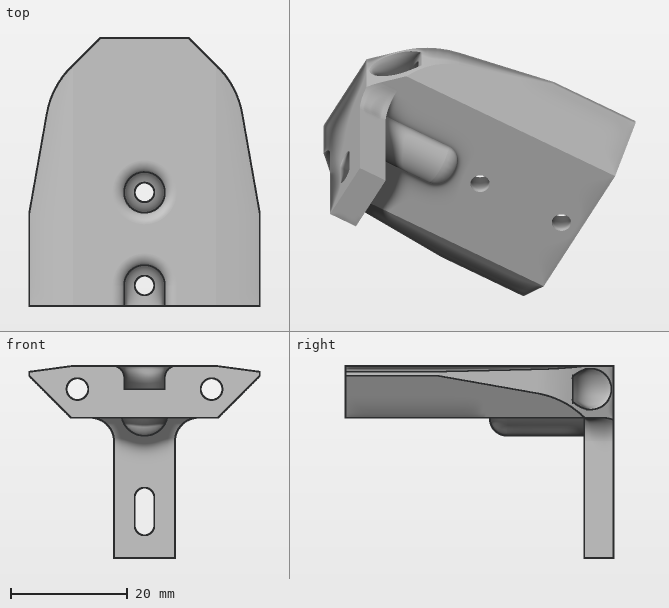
import cadquery as cq
import math

LENGTH = 46.0
HALF_WIDTH = 39.5 / 2
PLATE_THICKNESS = 8.92
TOP_FLAT_HALF_WIDTH = 12.25
TOP_EDGE_DROP = 1.0
SIDE_EDGE_BOTTOM = 1.75
UNDERSIDE_HALF_WIDTH = HALF_WIDTH - (PLATE_THICKNESS - SIDE_EDGE_BOTTOM)

STRAIGHT_SIDE_LENGTH = 16.05
TAPER_ANGLE = 10.0
BACK_HALF_WIDTH = 7.6
CORNER_RADIUS = 15.0

POST_HALF_WIDTH = 5.25
POST_THICKNESS = 5.05
POST_BOTTOM = -33.0
POST_FILLET = 4.0
SLOT_WIDTH = 3.3
SLOT_LENGTH = 8.15
SLOT_CENTER_Z = -25.0

RIB_RADIUS = 4.0
RIB_CENTER_Z = -8.0
RIB_LENGTH = 21.25
RIB_END_FILLET = 3.0

SCREW_DIAMETER = 3.3
FRONT_SCREW_Y = 3.55
REAR_SCREW_Y = 19.5
RECESS_RADIUS = 3.5
RECESS_DEPTH = 4.0
RECESS_RIM_RADIUS = 2.0

BOLT_X = 11.5
BOLT_Z = -4.0
BOLT_DIAMETER = 3.7
BOLT_HEAD_DIAMETER = 7.05
BOLT_HEAD_DEPTH = 7.05


def plan_prism():
    """Full-height prism with the plan outline of the plate."""
    taper = math.tan(math.radians(TAPER_ANGLE))
    taper_length = LENGTH - STRAIGHT_SIDE_LENGTH
    corner_offset = (HALF_WIDTH - taper_length * taper - BACK_HALF_WIDTH) / (1 - taper)
    corner_x = BACK_HALF_WIDTH + corner_offset
    corner_y = LENGTH - corner_offset
    outline = [
        (-HALF_WIDTH, 0),
        (HALF_WIDTH, 0),
        (HALF_WIDTH, STRAIGHT_SIDE_LENGTH),
        (corner_x, corner_y),
        (BACK_HALF_WIDTH, LENGTH),
        (-BACK_HALF_WIDTH, LENGTH),
        (-corner_x, corner_y),
        (-HALF_WIDTH, STRAIGHT_SIDE_LENGTH),
    ]
    prism = cq.Workplane("XY").polyline(outline).close().extrude(POST_BOTTOM)
    blended_corners = cq.selectors.BoxSelector(
        (-HALF_WIDTH, corner_y - 0.45, POST_BOTTOM), (HALF_WIDTH, corner_y + 0.45, 0)
    )
    return prism.edges("|Z").edges(blended_corners).fillet(CORNER_RADIUS)


def plate_section():
    """Cross-section of the plate, extruded over its whole length."""
    return (
        cq.Workplane("XZ")
        .moveTo(-TOP_FLAT_HALF_WIDTH, 0)
        .lineTo(TOP_FLAT_HALF_WIDTH, 0)
        .lineTo(HALF_WIDTH, -TOP_EDGE_DROP)
        .lineTo(HALF_WIDTH, -SIDE_EDGE_BOTTOM)
        .lineTo(UNDERSIDE_HALF_WIDTH, -PLATE_THICKNESS)
        .lineTo(-UNDERSIDE_HALF_WIDTH, -PLATE_THICKNESS)
        .lineTo(-HALF_WIDTH, -SIDE_EDGE_BOTTOM)
        .lineTo(-HALF_WIDTH, -TOP_EDGE_DROP)
        .close()
        .extrude(-LENGTH)
    )


def post():
    """Slotted post whose top flares into the plate through two fillets."""
    flare_half_width = POST_HALF_WIDTH + POST_FILLET
    flare_bottom = -PLATE_THICKNESS - POST_FILLET
    body = (
        cq.Workplane("XZ", origin=(0, LENGTH, 0))
        .moveTo(-POST_HALF_WIDTH, POST_BOTTOM)
        .lineTo(POST_HALF_WIDTH, POST_BOTTOM)
        .lineTo(POST_HALF_WIDTH, flare_bottom)
        .radiusArc((flare_half_width, -PLATE_THICKNESS), POST_FILLET)
        .lineTo(-flare_half_width, -PLATE_THICKNESS)
        .radiusArc((-POST_HALF_WIDTH, flare_bottom), POST_FILLET)
        .close()
        .extrude(POST_THICKNESS)
    )
    slot = (
        cq.Workplane("XZ", origin=(0, LENGTH, SLOT_CENTER_Z))
        .slot2D(SLOT_LENGTH, SLOT_WIDTH, 90)
        .extrude(POST_THICKNESS)
    )
    return body.cut(slot)


def rib():
    return (
        cq.Workplane("XZ", origin=(0, LENGTH, RIB_CENTER_Z))
        .circle(RIB_RADIUS)
        .extrude(RIB_LENGTH)
        .faces("<Y")
        .edges()
        .fillet(RIB_END_FILLET)
    )


def recess(y):
    """Round recess at y whose rim flares out to the top face."""
    rim_outer = RECESS_RADIUS + RECESS_RIM_RADIUS
    return (
        cq.Workplane("XZ", origin=(0, y, 0))
        .lineTo(rim_outer, 0)
        .radiusArc((RECESS_RADIUS, -RECESS_RIM_RADIUS), -RECESS_RIM_RADIUS)
        .lineTo(RECESS_RADIUS, -RECESS_DEPTH)
        .lineTo(0, -RECESS_DEPTH)
        .close()
        .revolve(360, (0, 0, 0), (0, 1, 0))
    )


def front_channel():
    """Continuation of the front recess, with the same rim, out through the front face."""
    rim_outer = RECESS_RADIUS + RECESS_RIM_RADIUS
    return (
        cq.Workplane("XZ")
        .moveTo(-rim_outer, 0)
        .lineTo(rim_outer, 0)
        .radiusArc((RECESS_RADIUS, -RECESS_RIM_RADIUS), -RECESS_RIM_RADIUS)
        .lineTo(RECESS_RADIUS, -RECESS_DEPTH)
        .lineTo(-RECESS_RADIUS, -RECESS_DEPTH)
        .lineTo(-RECESS_RADIUS, -RECESS_RIM_RADIUS)
        .radiusArc((-rim_outer, 0), -RECESS_RIM_RADIUS)
        .close()
        .extrude(-FRONT_SCREW_Y)
    )


def screw_holes():
    return (
        cq.Workplane("XY")
        .pushPoints([(0, FRONT_SCREW_Y), (0, REAR_SCREW_Y)])
        .circle(SCREW_DIAMETER / 2)
        .extrude(-PLATE_THICKNESS)
    )


def bolt_holes():
    centers = [(-BOLT_X, BOLT_Z), (BOLT_X, BOLT_Z)]
    shanks = cq.Workplane("XZ").pushPoints(centers).circle(BOLT_DIAMETER / 2).extrude(-LENGTH)
    heads = (
        cq.Workplane("XZ", origin=(0, LENGTH, 0))
        .pushPoints(centers)
        .circle(BOLT_HEAD_DIAMETER / 2)
        .extrude(BOLT_HEAD_DEPTH)
    )
    return shanks.union(heads)


result = plate_section().union(post()).union(rib()).intersect(plan_prism())
for screw_y in (FRONT_SCREW_Y, REAR_SCREW_Y):
    result = result.cut(recess(screw_y))
result = result.cut(front_channel()).cut(screw_holes()).cut(bolt_holes())